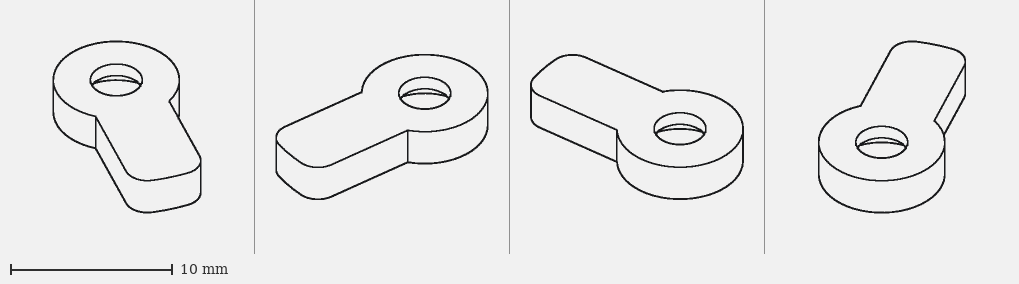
import cadquery as cq

overall_length = 14.28
ring_diameter = 7.8
hole_diameter = 3.2
arm_width = 4.8
thickness = 2.5
corner_radius = 1.4
countersink_diameter = 2 * hole_diameter

countersink_depth = (countersink_diameter - hole_diameter) / 2

ring_radius = ring_diameter / 2
tip_radius = overall_length - ring_radius


def make_ring():
    """Round head, centred on the Z axis."""
    return cq.Workplane("XY").circle(ring_radius).extrude(thickness)


def make_arm():
    """Straight arm along +X, with a gently curved tip and rounded corners."""
    bar = (
        cq.Workplane("XY")
        .rect(tip_radius, arm_width)
        .extrude(thickness)
        .translate((tip_radius / 2, 0, 0))
    )
    tip_disc = cq.Workplane("XY").circle(tip_radius).extrude(thickness)
    return bar.intersect(tip_disc).edges("|Z and (not <X)").fillet(corner_radius)


def make_hole():
    """Through hole in the head."""
    return cq.Workplane("XY").circle(hole_diameter / 2).extrude(thickness)


def make_countersink():
    """Conical countersink, widest at the underside."""
    return (
        cq.Workplane("XY")
        .circle(countersink_diameter / 2)
        .workplane(offset=countersink_depth)
        .circle(hole_diameter / 2)
        .loft(ruled=True)
    )


result = make_ring().union(make_arm()).cut(make_hole()).cut(make_countersink())